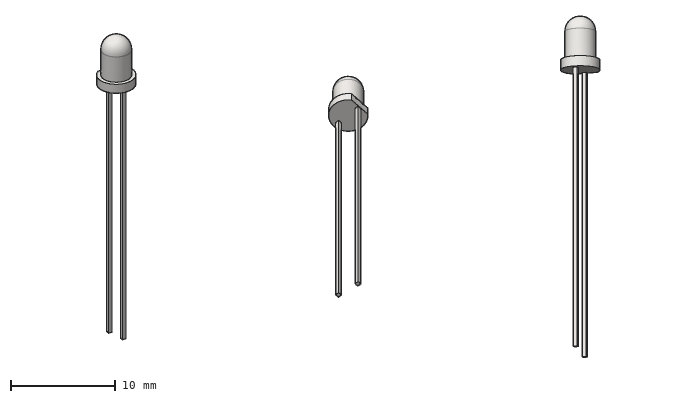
import cadquery as cq

total_height = 33.2
lens_diameter = 3.0
lens_radius = lens_diameter / 2
flange_diameter = 3.8
flange_height = 1.0
housing_height = 5.28
flat_offset = lens_radius

lead_width = 0.4
lead_pitch = 2.52
long_lead_length = total_height - housing_height
short_lead_length = long_lead_length - 0.5


def make_housing():
    """Domed lens on a flange with one flat side."""
    flange = cq.Workplane("XY").circle(flange_diameter / 2).extrude(flange_height)
    flat_limit = (
        cq.Workplane("XY")
        .box(flange_diameter, flange_diameter, flange_height, centered=(False, True, False))
        .translate((-flat_offset, 0, 0))
    )
    flange = flange.intersect(flat_limit)

    dome_base = housing_height - lens_radius
    dome_mid = lens_radius * 0.5 ** 0.5
    lens = (
        cq.Workplane("XZ")
        .lineTo(lens_radius, 0)
        .lineTo(lens_radius, dome_base)
        .threePointArc((dome_mid, dome_base + dome_mid), (0, housing_height))
        .close()
        .revolve(360, (0, 0, 0), (0, 1, 0))
    )
    return flange.union(lens)


def make_lead(x, length):
    """Square straight lead hanging from the flange underside."""
    return cq.Workplane("XY").center(x, 0).rect(lead_width, lead_width).extrude(-length)


housing = make_housing()

leads = []
for side, length in ((-1, long_lead_length), (1, short_lead_length)):
    leads.append(make_lead(side * lead_pitch / 2, length).val())

result = cq.Compound.makeCompound([housing.val(), *leads])